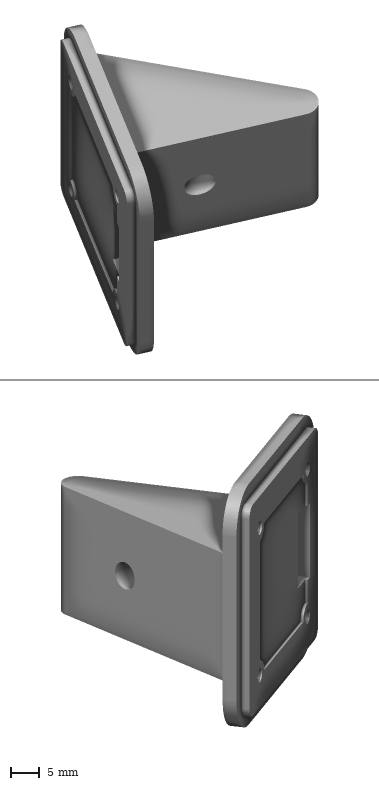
import cadquery as cq
import math

plate_size = 45.0
plate_thickness = 2.5
plate_corner_radius = 7.0

pad_size = 39.5
pad_thickness = 1.5
pad_corner_radius = 2.0

screw_spacing = 27.55
screw_hole_diameter = 2.5
screw_land_radius = 2.5
recess_depth = 0.5

window_left = 9.75
window_right = 15.05
window_height = 13.85

wedge_length = 36.3
wedge_height = 23.85
wedge_right = 3.5
wedge_tip_radius = 3.0
wedge_angle = math.radians(30)

cross_hole_diameter = 5.0
cross_hole_y = 21.7

front_y = -plate_thickness - pad_thickness
body_depth = plate_thickness + pad_thickness

tip_x = wedge_right - wedge_tip_radius
tip_y = wedge_length - wedge_tip_radius
slant_top_x = tip_x - wedge_tip_radius * math.cos(wedge_angle)
slant_top_y = tip_y + wedge_tip_radius * math.sin(wedge_angle)


def slant_x(y):
    """X of the slanted side at a distance y behind the plate."""
    return slant_top_x - (slant_top_y - y) * math.tan(wedge_angle)


def face_plane(y):
    """Plane parallel to the plate whose normal points backward (+Y)."""
    return cq.Workplane(cq.Plane(origin=(0, y, 0), xDir=(1, 0, 0), normal=(0, 1, 0)))


def rounded_square(front, size, thickness, radius):
    return face_plane(front).rect(size, size).extrude(thickness).edges("|Y").fillet(radius)


def screw_cylinders(radius, depth):
    corners = face_plane(front_y).rect(screw_spacing, screw_spacing, forConstruction=True)
    return corners.vertices().circle(radius).extrude(depth)


def make_recess():
    square = face_plane(front_y).rect(screw_spacing, screw_spacing).extrude(recess_depth)
    return square.cut(screw_cylinders(screw_land_radius, recess_depth))


def make_window():
    return (
        face_plane(front_y)
        .center((window_left + window_right) / 2, 0)
        .rect(window_right - window_left, window_height)
        .extrude(body_depth)
    )


def make_wedge():
    return (
        cq.Workplane("XY")
        .moveTo(slant_x(0), 0)
        .lineTo(slant_top_x, slant_top_y)
        .threePointArc((tip_x, wedge_length), (wedge_right, tip_y))
        .lineTo(wedge_right, 0)
        .close()
        .extrude(wedge_height / 2, both=True)
    )


def make_cross_hole():
    """Through hole entering the slanted side at right angles."""
    entry_plane = cq.Plane(
        origin=(slant_x(cross_hole_y), cross_hole_y, 0),
        xDir=(0, 0, 1),
        normal=(math.cos(wedge_angle), -math.sin(wedge_angle), 0),
    )
    length = (wedge_right - slant_x(cross_hole_y)) / math.cos(wedge_angle) + cross_hole_diameter
    return cq.Workplane(entry_plane).circle(cross_hole_diameter / 2).extrude(length)


plate = rounded_square(-plate_thickness, plate_size, plate_thickness, plate_corner_radius)
pad = rounded_square(front_y, pad_size, pad_thickness, pad_corner_radius)
wedge = make_wedge().cut(make_cross_hole())

result = (
    plate.union(pad)
    .union(wedge)
    .cut(make_recess())
    .cut(screw_cylinders(screw_hole_diameter / 2, body_depth))
    .cut(make_window())
)